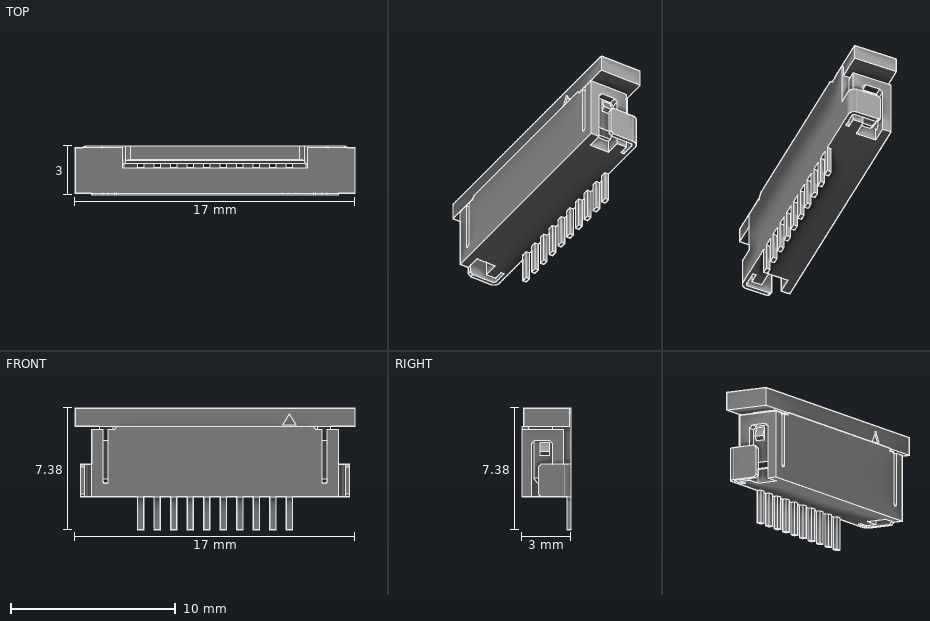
import cadquery as cq


housing_width = 15.0
housing_depth = 3.0
shoulder_height = 4.1
front_y = -housing_depth / 2
rear_y = housing_depth / 2
rear_half_width = 6.87
end_rear_y = 1.04
ledge_height = 5.08
raised_half_width = 5.97
raised_flare = 0.14

actuator_width = 17
actuator_depth = 2.79
actuator_thickness = 1.1
actuator_base = 4.28
actuator_top = actuator_base + actuator_thickness
notch_half_width = 5.63
notch_front_y = 0.15

tongue_half_width = 5.42
tongue_front_y = 0.61
tongue_side_bevel = 0.3
tongue_front_lean = 0.07
lead_in_top = 4.93
lead_in_drop = 0.12
cable_slot_half_width = 5.52
cable_slot_rear_y = 0.42
cable_slot_floor = 2.0

pin_count = 10
pin_pitch = 1.0
pin_width = 0.39
pin_thickness = 0.25
pin_length = 2.0
contact_height = 0.3
contact_reach = 0.25
pin_xs = [(i - (pin_count - 1) / 2) * pin_pitch for i in range(pin_count)]

arm_outer_x = -7.02
arm_inner_x = -6.2
arm_rear_y = 0.37
arm_front_y = -0.75
arm_root_front_y = -1.14
arm_bottom = 0.85
arm_tip_height = 0.24
arm_tip_depth = 0.19
arm_taper_height = 0.3
arm_taper_depth = 0.3
pocket_front_y = -0.92
pocket_top = 3.42
pocket_corner = 0.19
guide_slot_x = -6.65
guide_slot_width = 0.3
guide_slot_bottom = 0.8
pocket_inner_x = guide_slot_x + guide_slot_width / 2
hook_rear_y = 0.17
hook_front_y = -0.4
hook_bottom = 2.52
hook_peak = 2.75
hook_top = 3.32
hook_reach = 0.19

clip_outer_x = -8.18
clip_thickness = 0.25
clip_bend_radius = 0.4
clip_front_y = -0.5
clip_height = 1.99
clip_corner = 0.17

mark_width = 0.82
mark_height = 0.68
mark_base_gap = 0.07
mark_depth = 0.1


def box(x_min, x_max, y_min, y_max, z_min, z_max):
    """Axis-aligned block between the given limits."""
    size = (x_max - x_min, y_max - y_min, z_max - z_min)
    return cq.Workplane("XY").box(*size, centered=False).translate((x_min, y_min, z_min))


def prism_along_x(points_yz, x_min, x_max):
    """Outline in the YZ plane extruded from x_min to x_max."""
    return cq.Workplane("YZ", origin=(x_min, 0, 0)).polyline(points_yz).close().extrude(x_max - x_min)


def with_mirror(left):
    """The left-side solid together with its mirror image on the right."""
    return left.union(left.mirror("YZ"))


def make_housing():
    half = housing_width / 2
    body = box(-half, half, front_y, end_rear_y, 0, shoulder_height)
    rear_wall = box(-rear_half_width, rear_half_width, arm_rear_y, rear_y, 0, ledge_height)
    foot = raised_half_width + raised_flare
    raised_wall = (
        cq.Workplane("XZ", origin=(0, front_y, 0))
        .polyline([
            (-foot, shoulder_height),
            (foot, shoulder_height),
            (raised_half_width, actuator_base),
            (-raised_half_width, actuator_base),
        ])
        .close()
        .extrude(front_y - arm_rear_y)
    )
    return body.union(rear_wall).union(raised_wall)


def make_pocket():
    """Side pocket, open at the end and bottom, with bevelled top corners."""
    outline = [
        (pocket_front_y, 0),
        (arm_rear_y, 0),
        (arm_rear_y, pocket_top - pocket_corner),
        (arm_rear_y - pocket_corner, pocket_top),
        (pocket_front_y + pocket_corner, pocket_top),
        (pocket_front_y, pocket_top - pocket_corner),
    ]
    return prism_along_x(outline, -housing_width / 2, pocket_inner_x)


def make_guide_slot():
    """Round-bottomed slot through the front wall, exposing the latch arm."""
    radius = guide_slot_width / 2
    slot_depth = arm_front_y - front_y
    return (
        cq.Workplane("XZ", origin=(guide_slot_x, front_y, 0))
        .moveTo(-radius, shoulder_height)
        .lineTo(-radius, guide_slot_bottom + radius)
        .threePointArc((0, guide_slot_bottom), (radius, guide_slot_bottom + radius))
        .lineTo(radius, shoulder_height)
        .close()
        .extrude(-slot_depth)
    )


def make_arm():
    outline = [
        (arm_rear_y, actuator_base),
        (arm_root_front_y, actuator_base),
        (arm_front_y, pocket_top),
        (arm_front_y, arm_bottom + arm_tip_height),
        (arm_front_y + arm_tip_depth, arm_bottom),
        (arm_rear_y, arm_bottom),
    ]
    arm = prism_along_x(outline, arm_outer_x, arm_inner_x)
    tip_taper = (
        cq.Workplane("XZ", origin=(0, arm_rear_y, 0))
        .polyline([
            (arm_outer_x, arm_bottom),
            (arm_outer_x + arm_taper_depth, arm_bottom),
            (arm_outer_x, arm_bottom + arm_taper_height),
        ])
        .close()
        .extrude(arm_rear_y - arm_front_y)
    )
    hook = (
        cq.Workplane("XZ", origin=(0, hook_rear_y, 0))
        .polyline([
            (arm_outer_x, hook_bottom),
            (arm_outer_x - hook_reach, hook_peak),
            (arm_outer_x, hook_top),
        ])
        .close()
        .extrude(hook_rear_y - hook_front_y)
    )
    return arm.cut(tip_taper).union(hook)


def make_actuator():
    half_width = actuator_width / 2
    half_depth = actuator_depth / 2
    bar = box(-half_width, half_width, -half_depth, half_depth, actuator_base, actuator_top)
    notch = box(-notch_half_width, notch_half_width, notch_front_y, half_depth, actuator_base, actuator_top)
    return bar.cut(notch)


def make_tongue():
    """Bar on the rear wall, with a leaning front face and bevelled ends."""
    bar = prism_along_x(
        [
            (rear_y, ledge_height),
            (tongue_front_y, ledge_height),
            (tongue_front_y + tongue_front_lean, actuator_top),
            (rear_y, actuator_top),
        ],
        -tongue_half_width,
        tongue_half_width,
    )
    end_bevel = (
        cq.Workplane("XZ", origin=(0, rear_y, 0))
        .polyline([
            (-tongue_half_width, ledge_height),
            (-tongue_half_width, actuator_top),
            (-tongue_half_width + tongue_side_bevel, actuator_top),
        ])
        .close()
        .extrude(housing_depth)
    )
    return bar.cut(with_mirror(end_bevel))


def make_lead_in():
    """Sloped step cut from the rear wall between the tongue foot and the slot."""
    outline = [
        (tongue_front_y, ledge_height),
        (cable_slot_rear_y, ledge_height),
        (cable_slot_rear_y, lead_in_top - lead_in_drop),
        (tongue_front_y, lead_in_top),
    ]
    return prism_along_x(outline, -tongue_half_width, tongue_half_width)


def make_clip():
    """L-shaped sheet-metal clip, bent around the rear corner of the housing."""
    outer = box(clip_outer_x, -rear_half_width, clip_front_y, rear_y, 0, clip_height)
    inner = box(
        clip_outer_x + clip_thickness,
        -rear_half_width,
        clip_front_y,
        rear_y - clip_thickness,
        0,
        clip_height,
    )
    outer = outer.edges("|Z and <X and >Y").fillet(clip_bend_radius)
    inner = inner.edges("|Z and <X and >Y").fillet(clip_bend_radius - clip_thickness)
    clip = outer.cut(inner)
    return clip.faces("<Y").edges("|X").chamfer(clip_corner)


def make_pin(x):
    half = pin_width / 2
    return box(x - half, x + half, rear_y - pin_thickness, rear_y, -pin_length, 0)


def make_contact(x):
    """Wedge standing on the cable slot floor, leaning on its rear wall."""
    outline = [
        (cable_slot_rear_y, cable_slot_floor),
        (cable_slot_rear_y - contact_reach, cable_slot_floor),
        (cable_slot_rear_y, cable_slot_floor + contact_height),
    ]
    return prism_along_x(outline, x - pin_width / 2, x + pin_width / 2)


def make_mark():
    """Triangle engraved on the actuator front, above the last pin."""
    base = actuator_base + mark_base_gap
    return (
        cq.Workplane("XZ", origin=(pin_xs[-1], -actuator_depth / 2, 0))
        .polyline([(-mark_width / 2, base), (mark_width / 2, base), (0, base + mark_height)])
        .close()
        .extrude(-mark_depth)
    )


cable_slot = box(
    -cable_slot_half_width,
    cable_slot_half_width,
    notch_front_y,
    cable_slot_rear_y,
    cable_slot_floor,
    actuator_top,
)

result = (
    make_housing()
    .cut(with_mirror(make_pocket()))
    .cut(with_mirror(make_guide_slot()))
    .union(with_mirror(make_arm()))
    .union(make_actuator())
    .union(make_tongue())
    .cut(cable_slot)
    .cut(make_lead_in())
    .union(with_mirror(make_clip()))
    .cut(make_mark())
)
for pin_x in pin_xs:
    result = result.union(make_pin(pin_x)).union(make_contact(pin_x))